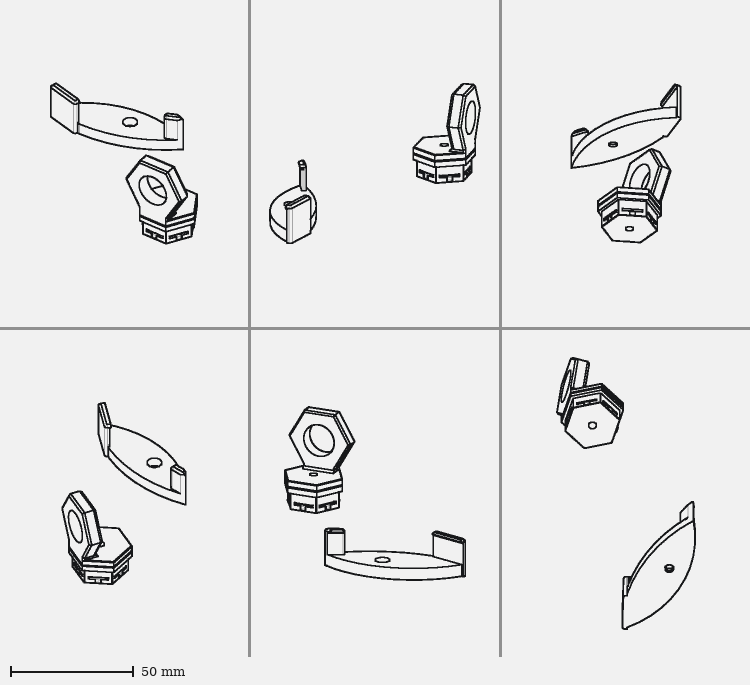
import cadquery as cq
import math

OVERALL_LENGTH = 99.6
TOTAL_HEIGHT = 42.7

PLATE_THICK = 5.1
LEAF_TIP = (57.3, 62.7)
LEAF_BACK_MID = (28.4, 67.3)
LEAF_BACK_END = (0.5, 50.9)
LEAF_FRONT_MID = (36.5, 50.4)
LEAF_FRONT_END = (16.4, 46.9)

PIVOT_CENTRE = (32.8, 59.9)
PIVOT_HOLE_DIA = 3.5
PIVOT_BORE_DIA = 6.0
PIVOT_BORE_DEPTH = 4.0

TAB_TOP = 16.0
TAB_THICK = 2.0
TAB_CORNER_RADIUS = 1.1
TAB_INNER_RADIUS = 0.8
TAB_CHAMFER = 1.0
LIP_REACH = 0.7
LIP_FACE_HEIGHT = 1.0

WIDE_TAB_CORNER = (-0.24, 49.8)
WIDE_TAB_LENGTH = 15.9
WIDE_TAB_ANGLE = -14.8
TIP_TAB_CORNER = (50.1, 58.8)
TIP_TAB_LENGTH = 10.0
TIP_TAB_ANGLE = 23.0

HEX_APOTHEM_RATIO = math.cos(math.radians(30))
SIDES = 6
EYE_RADIUS = 13.8
EYE_THICK = 6.0
EYE_HOLE_DIA = 13.6
EYE_CHAMFER_ALONG = 1.0
EYE_CHAMFER_INWARD = 0.6
EYE_APOTHEM = EYE_RADIUS * HEX_APOTHEM_RATIO
EYE_CENTRE_Z = TOTAL_HEIGHT - EYE_APOTHEM
EYE_BOTTOM = EYE_CENTRE_Z - EYE_APOTHEM

FLANGE_RADIUS = 13.0
EYE_FLANGE_THICK = 2.8
PLUG_FLANGE_THICK = 2.6
FLANGE_CHAMFER = 0.3
FLANGE_APOTHEM = FLANGE_RADIUS * HEX_APOTHEM_RATIO
HEX_X = OVERALL_LENGTH - EYE_RADIUS
HEX_Y = FLANGE_APOTHEM
PARTING_Z = 15.1
SCREW_HOLE_DIA = 3.2

PLUG_APOTHEM = 10.0
PLUG_BOTTOM = 5.2
PLUG_CHAMFER = 0.15

SLOT_WIDTH = 8.3
SLOT_HEIGHT = 1.0
SLOT_DEPTH = 1.6
SLOT_BOTTOM = 7.4
NUB_WIDTH = 2.3
NUB_RADIUS = 0.6
NUB_FOOT_DROP = 1.3
NUB_ROOT = 0.3


def leaf(height):
    """Pointed plate outline of two arcs; its straight end lies inside the wide tab."""
    return (
        cq.Workplane("XY")
        .moveTo(*LEAF_BACK_END)
        .threePointArc(LEAF_BACK_MID, LEAF_TIP)
        .threePointArc(LEAF_FRONT_MID, LEAF_FRONT_END)
        .close()
        .extrude(height)
    )


def tab(corner, length, angle, rounded_inner_start=False):
    """Upright tab with a lip along the top of its inner side; corner is its outer start corner."""
    slab = cq.Workplane("XY").box(length, TAB_THICK, TAB_TOP, centered=False)
    slab = slab.edges("|Z and <Y").fillet(TAB_CORNER_RADIUS)
    if rounded_inner_start:
        slab = slab.edges("|Z and <X").edges(">Y").fillet(TAB_INNER_RADIUS)
    lip_tip = TAB_THICK + LIP_REACH
    lip_low = TAB_TOP - LIP_FACE_HEIGHT
    lip = (
        cq.Workplane("YZ")
        .moveTo(TAB_CORNER_RADIUS, lip_low - LIP_REACH)
        .lineTo(TAB_THICK, lip_low - LIP_REACH)
        .lineTo(lip_tip, lip_low)
        .lineTo(lip_tip, TAB_TOP)
        .lineTo(TAB_CORNER_RADIUS, TAB_TOP)
        .close()
        .extrude(length)
    )
    upright = slab.union(lip)
    upright = upright.faces(">Z").edges("not(>Y and |X)").chamfer(TAB_CHAMFER)
    return upright.rotate((0, 0, 0), (0, 0, 1), angle).translate((*corner, 0))


def make_clamp():
    wide_tab = tab(WIDE_TAB_CORNER, WIDE_TAB_LENGTH, WIDE_TAB_ANGLE)
    trim = leaf(TAB_TOP).faces(">Z").edges(">Y").chamfer(TAB_CHAMFER)
    tip_tab = tab(TIP_TAB_CORNER, TIP_TAB_LENGTH, TIP_TAB_ANGLE, rounded_inner_start=True)
    tip_tab = tip_tab.intersect(trim)
    body = leaf(PLATE_THICK).union(wide_tab).union(tip_tab)
    hole = cq.Workplane("XY").center(*PIVOT_CENTRE).circle(PIVOT_HOLE_DIA / 2).extrude(PLATE_THICK)
    bore = (
        cq.Workplane("XY", origin=(0, 0, PLATE_THICK - PIVOT_BORE_DEPTH))
        .center(*PIVOT_CENTRE)
        .circle(PIVOT_BORE_DIA / 2)
        .extrude(PIVOT_BORE_DEPTH)
    )
    return body.cut(hole).cut(bore)


def flange(bottom, thick):
    return (
        cq.Workplane("XY", origin=(HEX_X, HEX_Y, bottom))
        .polygon(SIDES, 2 * FLANGE_RADIUS)
        .extrude(thick)
    )


def screw_hole():
    return cq.Workplane("XY", origin=(HEX_X, HEX_Y, 0)).circle(SCREW_HOLE_DIA / 2).extrude(TOTAL_HEIGHT)


def eye_ring():
    ring = (
        cq.Workplane("XZ", origin=(HEX_X, 0, EYE_CENTRE_Z))
        .polygon(SIDES, 2 * EYE_RADIUS)
        .extrude(-EYE_THICK)
    )
    return ring.faces("<Y or >Y").edges().chamfer(EYE_CHAMFER_ALONG, EYE_CHAMFER_INWARD)


def eye_neck():
    """Joins the ring to the flange: flush at the front, flaring backwards at 45 degrees."""
    top = EYE_BOTTOM + EYE_CHAMFER_INWARD
    bottom = PARTING_Z + FLANGE_CHAMFER
    flange_top = PARTING_Z + EYE_FLANGE_THICK
    gusset_back = EYE_THICK + EYE_BOTTOM - flange_top
    half_width = EYE_RADIUS / 2
    front_half_width = FLANGE_RADIUS / 2
    profile = (
        cq.Workplane("YZ", origin=(HEX_X, 0, 0))
        .polyline([
            (0, bottom),
            (gusset_back, bottom),
            (gusset_back, flange_top),
            (EYE_THICK, EYE_BOTTOM),
            (EYE_THICK, top),
            (0, top),
        ])
        .close()
        .extrude(half_width, both=True)
    )
    plan = (
        cq.Workplane("XY", origin=(HEX_X, 0, bottom))
        .polyline([
            (-front_half_width, 0),
            (front_half_width, 0),
            (half_width, EYE_CHAMFER_ALONG),
            (half_width, gusset_back),
            (-half_width, gusset_back),
            (-half_width, EYE_CHAMFER_ALONG),
        ])
        .close()
        .extrude(top - bottom)
    )
    return profile.intersect(plan)


def make_eye():
    base = flange(PARTING_Z, EYE_FLANGE_THICK).faces("<Z or >Z").edges().chamfer(FLANGE_CHAMFER)
    body = base.union(eye_neck()).union(eye_ring())
    bore = (
        cq.Workplane("XZ", origin=(HEX_X, 0, EYE_CENTRE_Z))
        .circle(EYE_HOLE_DIA / 2)
        .extrude(-EYE_THICK)
    )
    return body.cut(bore).cut(screw_hole())


def slot():
    return (
        cq.Workplane("XY")
        .box(SLOT_WIDTH, SLOT_DEPTH, SLOT_HEIGHT, centered=(True, False, False))
        .translate((0, -PLUG_APOTHEM, SLOT_BOTTOM))
    )


def nub():
    """Rounded catch under a slot, its underside running tangent back to the wall."""
    axis_z = SLOT_BOTTOM - NUB_RADIUS
    face = -PLUG_APOTHEM
    tangent = math.asin(NUB_RADIUS / NUB_FOOT_DROP)
    return (
        cq.Workplane("YZ")
        .moveTo(face, SLOT_BOTTOM)
        .threePointArc(
            (face - NUB_RADIUS, axis_z),
            (face - NUB_RADIUS * math.cos(tangent), axis_z - NUB_RADIUS * math.sin(tangent)),
        )
        .lineTo(face, axis_z - NUB_FOOT_DROP)
        .lineTo(face + NUB_ROOT, axis_z - NUB_FOOT_DROP)
        .lineTo(face + NUB_ROOT, SLOT_BOTTOM)
        .close()
        .extrude(NUB_WIDTH / 2, both=True)
    )


def on_side(feature, side):
    """Turns a feature made for the front wall onto the given side of the plug."""
    turn = side * 360 / SIDES
    return feature.rotate((0, 0, 0), (0, 0, 1), turn).translate((HEX_X, HEX_Y, 0))


def make_plug():
    bottom_of_flange = PARTING_Z - PLUG_FLANGE_THICK
    rim = flange(bottom_of_flange, PLUG_FLANGE_THICK).faces(">Z").edges().chamfer(FLANGE_CHAMFER)
    block = (
        cq.Workplane("XY", origin=(HEX_X, HEX_Y, PLUG_BOTTOM))
        .polygon(SIDES, 2 * PLUG_APOTHEM / HEX_APOTHEM_RATIO)
        .extrude(bottom_of_flange - PLUG_BOTTOM)
        .edges("|Z or <Z")
        .chamfer(PLUG_CHAMFER)
    )
    body = rim.union(block)
    for side in range(SIDES):
        body = body.cut(on_side(slot(), side))
        body = body.union(on_side(nub(), side))
    return body.cut(screw_hole())


clamp = make_clamp()
eye = make_eye()
plug = make_plug()

result = cq.Compound.makeCompound([body.solids().val() for body in (clamp, eye, plug)])